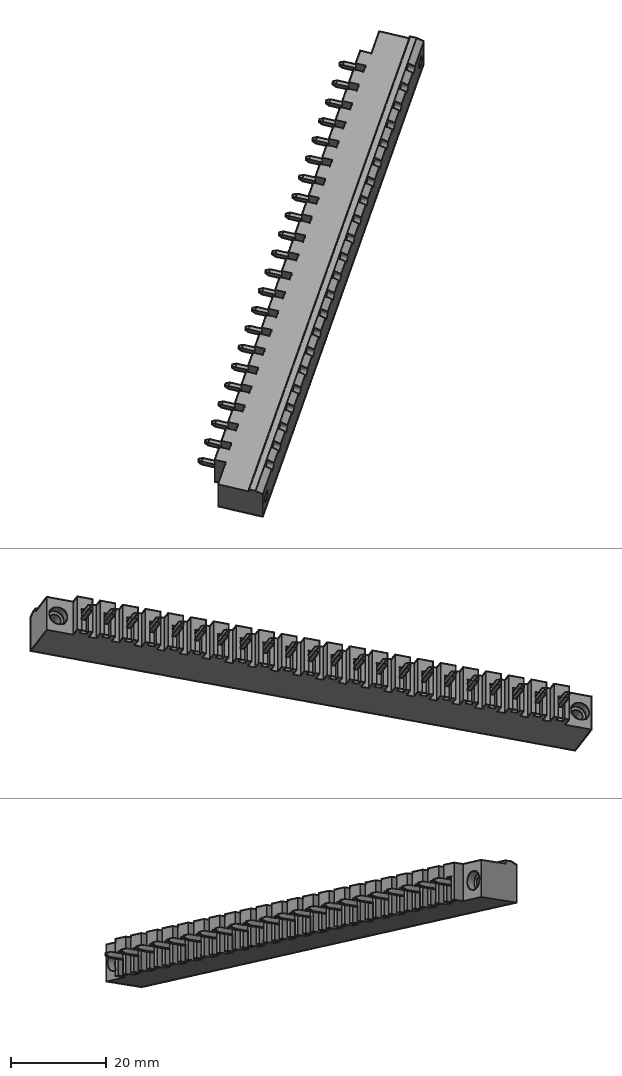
import cadquery as cq

TOTAL_DEPTH = 16.2
LENGTH = 121.9
HEIGHT = 8.7
PIN_COUNT = 22
SPAN = 106.7
PITCH = SPAN / (PIN_COUNT - 1)
PIN_YS = [index * PITCH - SPAN / 2 for index in range(PIN_COUNT)]

REAR_X = 6.5
DECK_HEIGHT = 7.9
RIDGE_X = 13.2
SLOPE_X = 14.6
LIP_HEIGHT = 8.0

BLOCK_X = 4.0
BLOCK_WIDTH = 3.4
GAP_FLOOR_X = 6.2

SLOT_WIDTH = 1.5
SLOT_HEIGHT = 5.1
SLOT_DEPTH = 1.3
LEDGE_HEIGHT = 0.7
LEDGE_DEPTH = 1.2

PIN_WIDTH = 1.0
PIN_HEIGHT = 1.1
PIN_Z = 3.9
PIN_TAPER = 0.9
PIN_TIP = 0.5
PIN_EMBED = 0.6

GROOVE_RADIUS = 0.9
GROOVE_DEPTH = 1.7

HOLE_Y = 58.4
HOLE_Z = 3.9
HOLE_DIAMETER = 2.5
COUNTERBORE_DIAMETER = 4.0
COUNTERBORE_DEPTH = 2.0


def box(x_start, x_end, y_center, width, z_start, z_end):
    """Box between two X and two Z limits, centred on y_center."""
    return (
        cq.Workplane("XY")
        .box(x_end - x_start, width, z_end - z_start, centered=(False, True, False))
        .translate((x_start, y_center, z_start))
    )


def x_cylinder(x_start, x_end, y, z, diameter):
    """Cylinder along X."""
    return cq.Workplane("YZ", origin=(x_start, y, z)).circle(diameter / 2).extrude(x_end - x_start)


def housing():
    """Long bar with a raised ridge that slopes down to the front face."""
    profile = [
        (REAR_X, 0),
        (TOTAL_DEPTH, 0),
        (TOTAL_DEPTH, LIP_HEIGHT),
        (SLOPE_X, HEIGHT),
        (RIDGE_X, HEIGHT),
        (RIDGE_X, DECK_HEIGHT),
        (REAR_X, DECK_HEIGHT),
    ]
    return cq.Workplane("XZ").polyline(profile).close().extrude(LENGTH / 2, both=True)


def pin(y):
    """Rectangular pin with a tapered tip."""
    center = (0, y, PIN_Z)
    tip = (
        cq.Workplane("YZ", origin=center)
        .rect(PIN_TIP, PIN_TIP)
        .workplane(offset=PIN_TAPER)
        .rect(PIN_WIDTH, PIN_HEIGHT)
        .loft(ruled=True)
    )
    z_start = PIN_Z - PIN_HEIGHT / 2
    shank_end = BLOCK_X + SLOT_DEPTH + PIN_EMBED
    return tip.union(box(PIN_TAPER, shank_end, y, PIN_WIDTH, z_start, z_start + PIN_HEIGHT))


def block(y):
    """Rear block with its pin slot."""
    body = box(BLOCK_X, RIDGE_X, y, BLOCK_WIDTH, 0, DECK_HEIGHT)
    slot_floor_x = BLOCK_X + SLOT_DEPTH
    slot = box(BLOCK_X, slot_floor_x, y, SLOT_WIDTH, 0, SLOT_HEIGHT)
    ledge = box(BLOCK_X + LEDGE_DEPTH, slot_floor_x, y, SLOT_WIDTH, 0, LEDGE_HEIGHT)
    return body.cut(slot).union(ledge)


def groove(y):
    """Round-bottomed groove along X, open at the front and at the top."""
    axis_z = HEIGHT - GROOVE_DEPTH + GROOVE_RADIUS
    bottom = x_cylinder(SLOPE_X, TOTAL_DEPTH, y, axis_z, 2 * GROOVE_RADIUS)
    return bottom.union(box(SLOPE_X, TOTAL_DEPTH, y, 2 * GROOVE_RADIUS, axis_z, HEIGHT))


def mounting_hole(y):
    """Through hole with a counterbore from the rear face."""
    hole = x_cylinder(REAR_X, TOTAL_DEPTH, y, HOLE_Z, HOLE_DIAMETER)
    counterbore_end = REAR_X + COUNTERBORE_DEPTH
    return hole.union(x_cylinder(REAR_X, counterbore_end, y, HOLE_Z, COUNTERBORE_DIAMETER))


gap_wall = box(GAP_FLOOR_X, RIDGE_X, 0, SPAN + BLOCK_WIDTH, 0, DECK_HEIGHT)
result = housing().union(gap_wall)

for pin_y in PIN_YS:
    result = result.union(block(pin_y)).union(pin(pin_y)).cut(groove(pin_y))

for hole_y in (-HOLE_Y, HOLE_Y):
    result = result.cut(mounting_hole(hole_y))